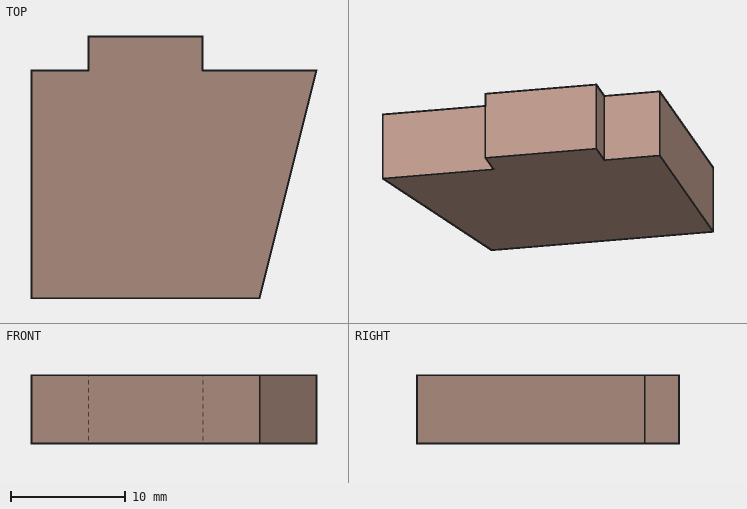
import cadquery as cq

thickness = 6.0
front_width = 20.0
back_width = 25.0
body_depth = 20.0

tab_offset = 5.0
tab_width = 10.0
tab_depth = 3.0


def make_body():
    """Four-sided plate that widens towards the back."""
    outline = [
        (0, 0),
        (front_width, 0),
        (back_width, body_depth),
        (0, body_depth),
    ]
    return cq.Workplane("XY").polyline(outline).close().extrude(thickness)


def make_tab():
    """Full-thickness tab standing out from the back edge."""
    return cq.Workplane("XY").box(tab_width, tab_depth, thickness, centered=False).translate(
        (tab_offset, body_depth, 0)
    )


result = make_body().union(make_tab())